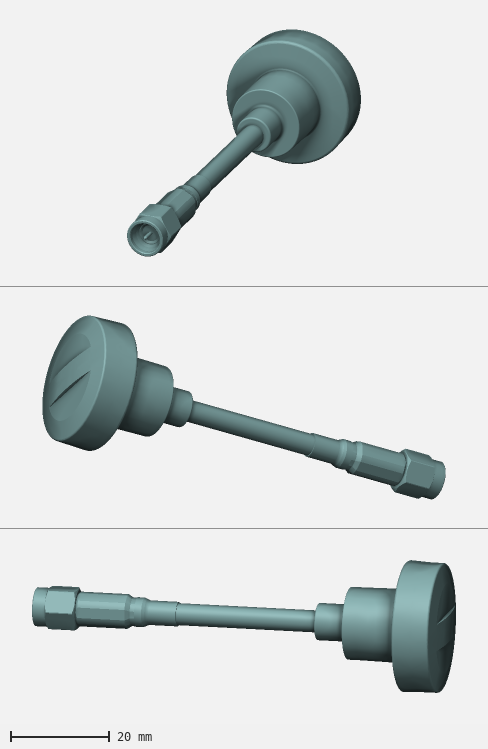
import cadquery as cq
import math

OVERALL_LENGTH = 86.0

CAP_BASE_RADIUS = 13.4
CAP_CROWN_RADIUS = 13.15
CAP_BASE_Y = 76.9
CROWN_SPHERE_RADIUS = 54.2
UNDERSIDE_SPHERE_RADIUS = 73.9
CAP_BASE_FILLET = 0.6
CAP_CROWN_FILLET = 0.4
CROWN_FLAT_DEPTH = 0.8
CROWN_RIB_WIDTH = 5.5

STEM_TOP_RADIUS = 7.6
STEM_BASE_RADIUS = 7.4
STEM_BASE_Y = 65.2
STEM_ROOT_FILLET = 0.35
STEM_EDGE_FILLET = 0.3
BOOT_RADIUS = 3.8
BOOT_BASE_Y = 58.6
BOOT_ROOT_FILLET = 0.5
BOOT_EDGE_FILLET = 0.35

CABLE_RADIUS = 2.2
SLEEVE_RADIUS = 2.5
SLEEVE_TOP_Y = 29.7
SLEEVE_BASE_Y = 24.0

COLLAR_RADIUS = 3.0
COLLAR_STEP_RADIUS = 2.75
COLLAR_STEP_Y = 23.2
COLLAR_TOP_Y = 22.6
COLLAR_BASE_Y = 21.15
FLARE_MID_RADIUS = 2.6
FLARE_MID_Y = 23.6

BARREL_RADIUS = 3.5
BARREL_END_RADIUS = 3.3
BARREL_END_CHAMFER = 0.4
BARREL_ACROSS_FLATS = 6.7
BARREL_TOP_Y = 19.3
NECK_RADIUS = 2.9
NECK_ACROSS_FLATS = 5.7
NECK_BASE_Y = 20.2

NUT_ACROSS_FLATS = 8.0
NUT_CORNER_RADIUS = 4.55
NUT_TOP_Y = 9.0
NUT_BASE_Y = 2.75
NUT_CHAMFER_LENGTH = 0.4
NUT_END_RADIUS = 3.9
LIP_RADIUS = 3.95
LIP_END_Y = 0.2
LIP_CHAMFER = 0.2

MOUTH_RADIUS = 3.35
MOUTH_CHAMFER = 0.2
BORE_RADIUS = MOUTH_RADIUS - MOUTH_CHAMFER
BORE_DEPTH = 1.1
THROAT_RADIUS = 2.75
THROAT_DEPTH = 2.15
SEAT_RADIUS = 2.3
SEAT_DEPTH = 2.75
SEAT_BEVEL_RADIUS = 2.15
INSULATOR_RADIUS = 1.7
INSULATOR_DEPTH = 3.1
PIN_RADIUS = 0.39
PIN_TIP_RADIUS = 0.1
PIN_TAPER_LENGTH = 0.5

HEX_SIDES = 6
POSITION_TOLERANCE = 0.01


def sphere_sag(sphere_radius, radius):
    """Drop of a sphere below its apex at the given distance from the axis."""
    return sphere_radius - math.sqrt(sphere_radius**2 - radius**2)


def revolve_about_y(profile):
    return profile.close().revolve(360, (0, 0, 0), (0, 1, 0))


def hexagon(across_flats, y):
    """Hexagon in the plane at height y, corners on the X axis, ready to extrude towards -Y."""
    across_corners = across_flats / math.cos(math.pi / HEX_SIDES)
    return cq.Workplane("XZ", origin=(0, y, 0)).polygon(HEX_SIDES, across_corners)


def make_housing():
    crown_edge_y = OVERALL_LENGTH - sphere_sag(CROWN_SPHERE_RADIUS, CAP_CROWN_RADIUS)
    underside_apex_y = CAP_BASE_Y - sphere_sag(UNDERSIDE_SPHERE_RADIUS, CAP_BASE_RADIUS)
    stem_top_y = underside_apex_y + sphere_sag(UNDERSIDE_SPHERE_RADIUS, STEM_TOP_RADIUS)
    crown_mid = CAP_CROWN_RADIUS / 2
    under_mid = (CAP_BASE_RADIUS + STEM_TOP_RADIUS) / 2
    housing = revolve_about_y(
        cq.Workplane("XY")
        .moveTo(0, BOOT_BASE_Y)
        .lineTo(BOOT_RADIUS, BOOT_BASE_Y)
        .lineTo(BOOT_RADIUS, STEM_BASE_Y)
        .lineTo(STEM_BASE_RADIUS, STEM_BASE_Y)
        .lineTo(STEM_TOP_RADIUS, stem_top_y)
        .threePointArc(
            (under_mid, underside_apex_y + sphere_sag(UNDERSIDE_SPHERE_RADIUS, under_mid)),
            (CAP_BASE_RADIUS, CAP_BASE_Y),
        )
        .lineTo(CAP_CROWN_RADIUS, crown_edge_y)
        .threePointArc(
            (crown_mid, OVERALL_LENGTH - sphere_sag(CROWN_SPHERE_RADIUS, crown_mid)),
            (0, OVERALL_LENGTH),
        )
    )
    edge_fillets = [
        (BOOT_RADIUS, BOOT_BASE_Y, BOOT_EDGE_FILLET),
        (BOOT_RADIUS, STEM_BASE_Y, BOOT_ROOT_FILLET),
        (STEM_BASE_RADIUS, STEM_BASE_Y, STEM_EDGE_FILLET),
        (STEM_TOP_RADIUS, stem_top_y, STEM_ROOT_FILLET),
        (CAP_BASE_RADIUS, CAP_BASE_Y, CAP_BASE_FILLET),
        (CAP_CROWN_RADIUS, crown_edge_y, CAP_CROWN_FILLET),
    ]
    for radius, y, fillet in edge_fillets:
        housing = round_circle(housing, radius, y, fillet)
    return flatten_crown(housing)


def round_circle(body, radius, y, fillet):
    """Fillet the circular edge of the given radius centred on the axis at height y."""
    reach = radius + POSITION_TOLERANCE
    box = cq.selectors.BoxSelector(
        (-reach, y - POSITION_TOLERANCE, -reach),
        (reach, y + POSITION_TOLERANCE, reach),
        boundingbox=True,
    )
    return body.edges(box).edges("%CIRCLE").fillet(fillet)


def flatten_crown(housing):
    """Plane the crown flat, leaving a domed rib across it along X."""
    side_width = CAP_BASE_RADIUS
    side_offset = (CROWN_RIB_WIDTH + side_width) / 2
    cutters = (
        cq.Workplane("XZ", origin=(0, OVERALL_LENGTH, 0))
        .pushPoints([(0, side_offset), (0, -side_offset)])
        .rect(2 * CAP_BASE_RADIUS, side_width)
        .extrude(CROWN_FLAT_DEPTH)
    )
    return housing.cut(cutters)


def make_cable():
    """Cable, sleeve and collar turned in one profile above the neck of the barrel."""
    return revolve_about_y(
        cq.Workplane("XY")
        .moveTo(0, COLLAR_BASE_Y)
        .lineTo(COLLAR_RADIUS, COLLAR_BASE_Y)
        .lineTo(COLLAR_RADIUS, COLLAR_TOP_Y)
        .lineTo(COLLAR_STEP_RADIUS, COLLAR_STEP_Y)
        .threePointArc((FLARE_MID_RADIUS, FLARE_MID_Y), (SLEEVE_RADIUS, SLEEVE_BASE_Y))
        .lineTo(SLEEVE_RADIUS, SLEEVE_TOP_Y)
        .lineTo(CABLE_RADIUS, SLEEVE_TOP_Y)
        .lineTo(CABLE_RADIUS, BOOT_BASE_Y)
        .lineTo(0, BOOT_BASE_Y)
    )


def make_barrel():
    """Round barrel, shoulder and neck, with six flats that follow the taper of the shoulder."""
    turned = revolve_about_y(
        cq.Workplane("XY")
        .moveTo(0, NUT_BASE_Y)
        .lineTo(BARREL_END_RADIUS, NUT_BASE_Y)
        .lineTo(BARREL_END_RADIUS, NUT_TOP_Y)
        .lineTo(BARREL_RADIUS, NUT_TOP_Y + BARREL_END_CHAMFER)
        .lineTo(BARREL_RADIUS, BARREL_TOP_Y)
        .lineTo(NECK_RADIUS, NECK_BASE_Y)
        .lineTo(NECK_RADIUS, COLLAR_BASE_Y)
        .lineTo(0, COLLAR_BASE_Y)
    )
    shoulder_length = NECK_BASE_Y - BARREL_TOP_Y
    flat_step = (BARREL_ACROSS_FLATS - NECK_ACROSS_FLATS) / 2
    shoulder_angle = math.degrees(math.atan2(flat_step, shoulder_length))
    neck = hexagon(NECK_ACROSS_FLATS, COLLAR_BASE_Y).extrude(COLLAR_BASE_Y - NECK_BASE_Y)
    shoulder = hexagon(NECK_ACROSS_FLATS, NECK_BASE_Y).extrude(shoulder_length, taper=-shoulder_angle)
    body = hexagon(BARREL_ACROSS_FLATS, BARREL_TOP_Y).extrude(BARREL_TOP_Y - NUT_BASE_Y)
    quarter_turned = neck.union(shoulder).union(body).rotate((0, 0, 0), (0, 1, 0), 90)
    return turned.intersect(quarter_turned)


def make_nut():
    envelope = revolve_about_y(
        cq.Workplane("XY")
        .moveTo(0, NUT_BASE_Y)
        .lineTo(NUT_END_RADIUS, NUT_BASE_Y)
        .lineTo(NUT_CORNER_RADIUS, NUT_BASE_Y + NUT_CHAMFER_LENGTH)
        .lineTo(NUT_CORNER_RADIUS, NUT_TOP_Y - NUT_CHAMFER_LENGTH)
        .lineTo(NUT_END_RADIUS, NUT_TOP_Y)
        .lineTo(0, NUT_TOP_Y)
    )
    lip = revolve_about_y(
        cq.Workplane("XY")
        .moveTo(0, LIP_END_Y)
        .lineTo(LIP_RADIUS - LIP_CHAMFER, LIP_END_Y)
        .lineTo(LIP_RADIUS, LIP_END_Y + LIP_CHAMFER)
        .lineTo(LIP_RADIUS, NUT_BASE_Y + NUT_CHAMFER_LENGTH)
        .lineTo(0, NUT_BASE_Y + NUT_CHAMFER_LENGTH)
    )
    blank = hexagon(NUT_ACROSS_FLATS, NUT_TOP_Y).extrude(NUT_TOP_Y - NUT_BASE_Y)
    return blank.intersect(envelope).union(lip)


def make_socket():
    """Hollow of the connector, narrowing from the mouth to the insulator face."""
    return revolve_about_y(
        cq.Workplane("XY")
        .moveTo(0, LIP_END_Y)
        .lineTo(MOUTH_RADIUS, LIP_END_Y)
        .lineTo(BORE_RADIUS, LIP_END_Y + MOUTH_CHAMFER)
        .lineTo(BORE_RADIUS, LIP_END_Y + BORE_DEPTH)
        .lineTo(THROAT_RADIUS, LIP_END_Y + THROAT_DEPTH)
        .lineTo(SEAT_RADIUS, LIP_END_Y + SEAT_DEPTH)
        .lineTo(SEAT_BEVEL_RADIUS, LIP_END_Y + SEAT_DEPTH)
        .lineTo(INSULATOR_RADIUS, LIP_END_Y + INSULATOR_DEPTH)
        .lineTo(0, LIP_END_Y + INSULATOR_DEPTH)
    )


def make_pin():
    pin_root_y = LIP_END_Y + INSULATOR_DEPTH
    return revolve_about_y(
        cq.Workplane("XY")
        .lineTo(PIN_TIP_RADIUS, 0)
        .lineTo(PIN_RADIUS, PIN_TAPER_LENGTH)
        .lineTo(PIN_RADIUS, pin_root_y)
        .lineTo(0, pin_root_y)
    )


def make_cable_assembly():
    connector = make_barrel().union(make_nut()).cut(make_socket()).union(make_pin())
    return make_cable().union(connector)


housing = make_housing()
cable_assembly = make_cable_assembly()

result = cq.Compound.makeCompound([housing.val(), cable_assembly.val()])